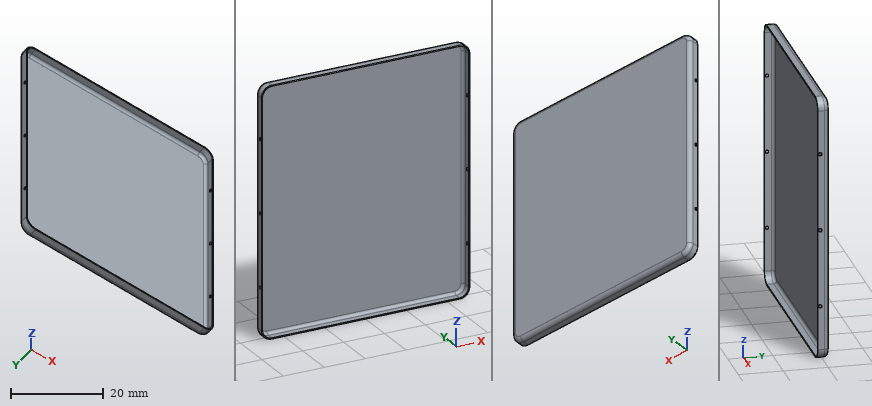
import cadquery as cq

width = 51.0
depth = 2.5
height = 60.1
wall = 0.3
corner_radius = 2.5
floor_edge_radius = 1.0

dimple_radius = 0.35
dimple_press = 0.25
dimple_from_rim = 0.55
dimple_pitch = 17.55

rim_y = -depth / 2

ball_radius = (dimple_radius**2 + dimple_press**2) / (2 * dimple_press)


def rounded_block(inset):
    """Block starting at the rim, inset from the tray's sides and floor."""
    return (
        cq.Workplane("XZ", origin=(0, rim_y, 0))
        .rect(width - 2 * inset, height - 2 * inset)
        .extrude(-(depth - inset))
        .edges("|Y")
        .fillet(corner_radius - inset)
        .faces(">Y")
        .edges()
        .fillet(floor_edge_radius - inset)
    )


def dimple_cap():
    """Spherical cap at the origin, with its flat face in the YZ plane and its tip toward +X."""
    return (
        cq.Workplane("XY")
        .lineTo(dimple_press, 0)
        .radiusArc((0, dimple_radius), -ball_radius)
        .close()
        .revolve(360, (0, 0), (1, 0))
    )


tray = rounded_block(0).cut(rounded_block(wall))

for side in (-1, 1):
    inward_cap = dimple_cap().rotate((0, 0, 0), (0, 0, 1), 0 if side < 0 else 180)
    for row in (-1, 0, 1):
        place = (side * width / 2, rim_y + dimple_from_rim, row * dimple_pitch)
        hollow = inward_cap.translate(place)
        bump = hollow.translate((-side * wall, 0, 0))
        tray = tray.union(bump).cut(hollow)

result = tray